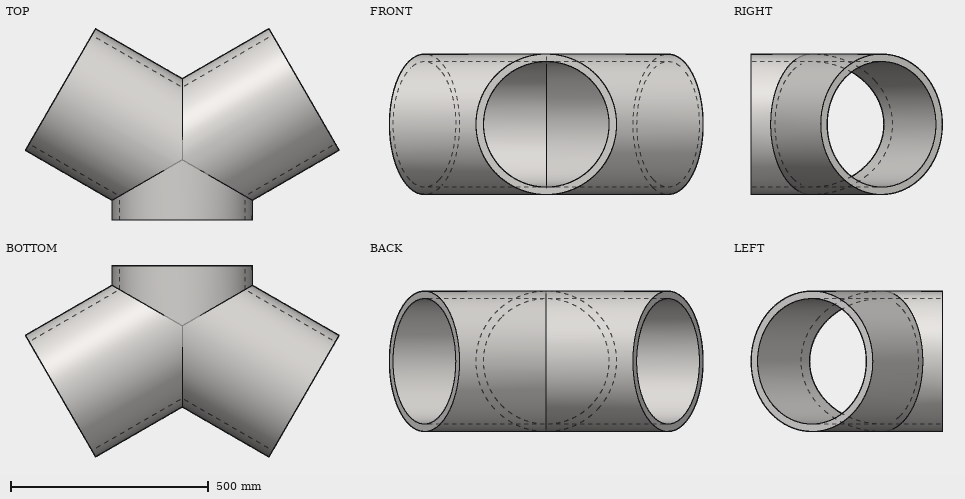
import cadquery as cq
import math

outer_diameter = 355.6
inner_diameter = 317.5
branch_length = outer_diameter
inlet_length = 152.4

legs = [
    (30, branch_length),
    (150, branch_length),
    (270, inlet_length),
]
mitre_angle = 360 / len(legs) / 2


def point_at(angle, distance):
    """Point in the XY plane at a distance from the junction centre."""
    return cq.Vector(
        distance * math.cos(math.radians(angle)),
        distance * math.sin(math.radians(angle)),
        0,
    )


def mitred_leg(angle, length, diameter):
    """Solid cylinder along one leg, trimmed by the mitre planes it shares with its neighbours."""
    cylinder = cq.Solid.makeCylinder(diameter / 2, length, cq.Vector(0, 0, 0), point_at(angle, 1))
    wedge_side = 2 * length / math.cos(math.radians(mitre_angle))
    wedge = (
        cq.Workplane("XY")
        .polyline([
            (0, 0),
            point_at(angle - mitre_angle, wedge_side).toTuple()[:2],
            point_at(angle + mitre_angle, wedge_side).toTuple()[:2],
        ])
        .close()
        .extrude(outer_diameter, both=True)
    )
    return cq.Workplane(cylinder).intersect(wedge)


def joined_legs(diameter):
    """All legs at one diameter, fused along their mitre planes."""
    body = cq.Workplane()
    for angle, length in legs:
        body = body.add(mitred_leg(angle, length, diameter))
    return body.combine()


outside = joined_legs(outer_diameter)
bore = joined_legs(inner_diameter)
result = outside.cut(bore)